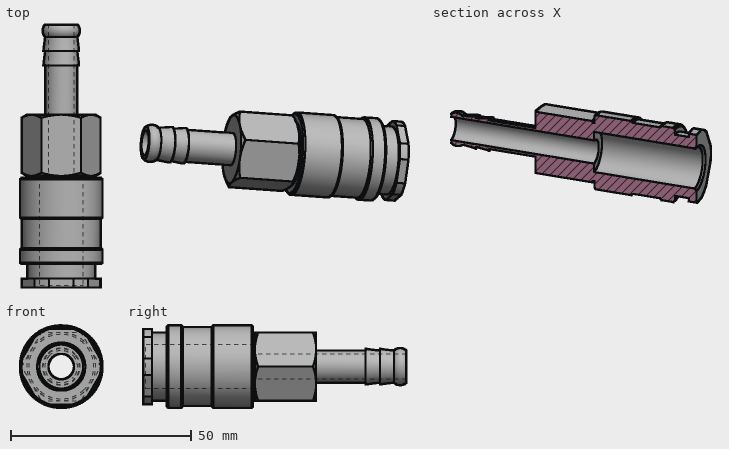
import cadquery as cq
import math


flange_end_y = 2.5
collar_start_y = 6.5
collar_end_y = 11.0
sleeve_start_y = 19.0
sleeve_end_y = 30.5
hex_start_y = 31.0
hex_end_y = 48.0
barb_length = 3.95
bulb_length = 3.4
total_length = 73.0
bulb_start_y = total_length - bulb_length
barb_count = 2

flange_radius = 11.05
flange_flat_distance = 10.5

neck_radius = 9.5
sleeve_radius = 11.5
sleeve_waist_radius = 11.0
sleeve_chamfer = sleeve_radius - sleeve_waist_radius
undercut_radius = 9.0

hex_across_flats = 19.0
hex_across_corners = hex_across_flats / math.cos(math.radians(30))
hex_face_radius = hex_across_flats / 2
hex_chamfer_length = (hex_across_corners / 2 - hex_face_radius) * math.tan(math.radians(30))

stem_radius = 4.5
barb_radius = 5.0
bulb_radius = 5.2

through_radius = 3.5
socket_radius = 6.1
socket_mouth_radius = 6.7
socket_depth = sleeve_end_y


def revolve_profile(profile):
    """Close a half profile drawn in XY and turn it about the Y axis."""
    return profile.close().revolve(360, (0, 0, 0), (0, 1, 0))


def cylinder(radius, start_y, end_y):
    """Cylinder on the Y axis between two axial positions."""
    return cq.Workplane("XZ", origin=(0, start_y, 0)).circle(radius).extrude(start_y - end_y)


def hex_prism(across_corners, start_y, end_y):
    """Hexagonal prism on the Y axis with corners on +X and -X."""
    return cq.Workplane("XZ", origin=(0, start_y, 0)).polygon(6, across_corners).extrude(start_y - end_y)


def make_flange():
    """Round flange trimmed by six flats."""
    flats_across_corners = 2 * flange_flat_distance / math.cos(math.radians(30))
    disc = cylinder(flange_radius, 0, flange_end_y)
    return disc.intersect(hex_prism(flats_across_corners, 0, flange_end_y))


def make_sleeve():
    """Neck, front collar, waist, grip sleeve and undercut as one turned body."""
    profile = (
        cq.Workplane("XY")
        .moveTo(0, flange_end_y)
        .lineTo(neck_radius, flange_end_y)
        .lineTo(neck_radius, collar_start_y)
        .lineTo(sleeve_waist_radius, collar_start_y)
        .lineTo(sleeve_radius, collar_start_y + sleeve_chamfer)
        .lineTo(sleeve_radius, collar_end_y - sleeve_chamfer)
        .lineTo(sleeve_waist_radius, collar_end_y)
        .lineTo(sleeve_waist_radius, sleeve_start_y)
        .lineTo(sleeve_radius, sleeve_start_y + sleeve_chamfer)
        .lineTo(sleeve_radius, sleeve_end_y - sleeve_chamfer)
        .lineTo(sleeve_waist_radius, sleeve_end_y)
        .lineTo(undercut_radius, sleeve_end_y)
        .lineTo(undercut_radius, hex_start_y)
        .lineTo(0, hex_start_y)
    )
    return revolve_profile(profile)


def make_hexagon():
    """Spanner hexagon with its corners turned off at both ends."""
    corner_radius = hex_across_corners / 2
    envelope = (
        cq.Workplane("XY")
        .moveTo(0, hex_start_y)
        .lineTo(hex_face_radius, hex_start_y)
        .lineTo(corner_radius, hex_start_y + hex_chamfer_length)
        .lineTo(corner_radius, hex_end_y - hex_chamfer_length)
        .lineTo(hex_face_radius, hex_end_y)
        .lineTo(0, hex_end_y)
    )
    return hex_prism(hex_across_corners, hex_start_y, hex_end_y).intersect(revolve_profile(envelope))


def make_hose_tail():
    """Plain stem, conical barbs widening towards the hexagon, and a rounded end bulb."""
    first_barb_y = bulb_start_y - barb_count * barb_length
    profile = (
        cq.Workplane("XY")
        .moveTo(0, hex_end_y)
        .lineTo(stem_radius, hex_end_y)
        .lineTo(stem_radius, first_barb_y)
    )
    for index in range(barb_count):
        barb_y = first_barb_y + index * barb_length
        profile = profile.lineTo(barb_radius, barb_y).lineTo(stem_radius, barb_y + barb_length)
    bulb_middle_y = bulb_start_y + bulb_length / 2
    profile = (
        profile.threePointArc((bulb_radius, bulb_middle_y), (stem_radius, total_length))
        .lineTo(0, total_length)
    )
    return revolve_profile(profile)


def make_passage():
    """Through hole, wider plug socket and its 45 degree mouth chamfer."""
    profile = (
        cq.Workplane("XY")
        .lineTo(socket_mouth_radius, 0)
        .lineTo(socket_radius, socket_mouth_radius - socket_radius)
        .lineTo(socket_radius, socket_depth)
        .lineTo(through_radius, socket_depth)
        .lineTo(through_radius, total_length)
        .lineTo(0, total_length)
    )
    return revolve_profile(profile)


body = make_flange().union(make_sleeve()).union(make_hexagon()).union(make_hose_tail())
result = body.cut(make_passage())